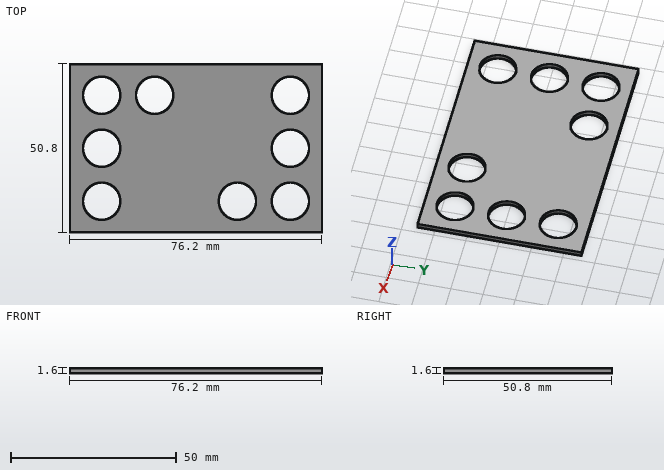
import cadquery as cq

plate_length = 76.2
plate_width = 50.8
plate_thickness = 1.6

hole_diameter = 11.2
hole_pitch = 16.0
end_margin = 9.6

end_column_x = plate_length / 2 - end_margin
inner_hole_x = end_column_x - hole_pitch

hole_centres = [
    (side * end_column_x, row * hole_pitch)
    for side in (-1, 1)
    for row in (-1, 0, 1)
]
hole_centres += [
    (-inner_hole_x, hole_pitch),
    (inner_hole_x, -hole_pitch),
]

plate = cq.Workplane("XY").box(
    plate_length, plate_width, plate_thickness, centered=(True, True, False)
)
hole_cutters = (
    cq.Workplane("XY")
    .pushPoints(hole_centres)
    .circle(hole_diameter / 2)
    .extrude(plate_thickness)
)

result = plate.cut(hole_cutters)